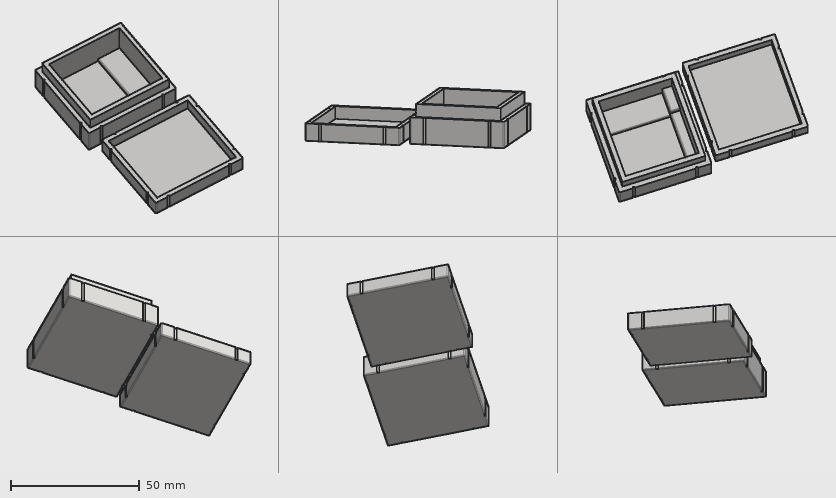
import cadquery as cq

width = 38.0
depth = 40.8
wall = 2.0
floor_thickness = 2.0
edge_radius = 0.5

base_height = 10.6
spigot_height = 5.0
lid_height = 6.95

gap = 3.0
lid_shift = 4.0

groove_radius = 0.5
groove_inset = 6.0

shelf_width = 4.0
front_shelf_rise = 3.5
back_depth = 10.0
back_shelf_rise = 5.5
back_rise = 1.3

spigot_width = width - 2 * wall
spigot_depth = depth - 2 * wall
pocket_width = spigot_width - 2 * wall
pocket_depth = spigot_depth - 2 * wall


def block(size_x, size_y, bottom, top):
    """Box centred on the Z axis between two heights."""
    return cq.Workplane("XY").workplane(offset=bottom).rect(size_x, size_y).extrude(top - bottom)


def grooves(height):
    """Vertical round grooves, two on each of the four sides."""
    near_x = width / 2 - groove_inset
    near_y = depth / 2 - groove_inset
    centres = []
    for side in (-1, 1):
        for hand in (-1, 1):
            centres.append((hand * near_x, side * depth / 2))
            centres.append((side * width / 2, hand * near_y))
    return cq.Workplane("XY").pushPoints(centres).circle(groove_radius).extrude(height)


def grooved_block(height):
    """Outer shell shape: rounded corners and bottom edges, grooved sides."""
    body = block(width, depth, 0, height)
    body = body.edges("|Z").fillet(edge_radius)
    body = body.faces("<Z").edges().fillet(edge_radius)
    return body.cut(grooves(height))


def pocket_zone(left, right, front, back, bottom, top):
    """Rectangular piece of the pocket given by its six limits."""
    zone = cq.Workplane("XY").box(right - left, back - front, top - bottom, centered=False)
    return zone.translate((left, front, bottom))


def compartment_steps():
    """Raised back floor and right-hand shelf, with rounded exposed edges."""
    left = -pocket_width / 2
    right = pocket_width / 2
    front = -pocket_depth / 2
    back = pocket_depth / 2
    shelf_left = right - shelf_width
    step_front = back - back_depth
    low = floor_thickness
    back_floor = low + back_rise

    back_step = pocket_zone(left, right, step_front, back, low, back_floor)
    back_step = back_step.edges(">Z and <Y").fillet(edge_radius)
    front_shelf = pocket_zone(shelf_left, right, front, back, low, low + front_shelf_rise)
    front_shelf = front_shelf.edges(">Z and <X").fillet(edge_radius)
    back_shelf = pocket_zone(shelf_left, right, step_front, back, low, low + back_shelf_rise)
    back_shelf = back_shelf.edges("(>Z and <X) or (>Z and <Y) or (<X and <Y)").fillet(edge_radius)
    return back_step.union(front_shelf).union(back_shelf)


def make_box():
    top = base_height + spigot_height
    body = grooved_block(base_height)
    body = body.union(block(spigot_width, spigot_depth, base_height, top))
    body = body.cut(block(pocket_width, pocket_depth, floor_thickness, top))
    return body.union(compartment_steps())


def make_lid():
    pocket = block(spigot_width, spigot_depth, floor_thickness, lid_height)
    body = grooved_block(lid_height).cut(pocket)
    return body.translate((width + gap, lid_shift, 0))


box = make_box()
lid = make_lid()
result = cq.Compound.makeCompound([box.val(), lid.val()])